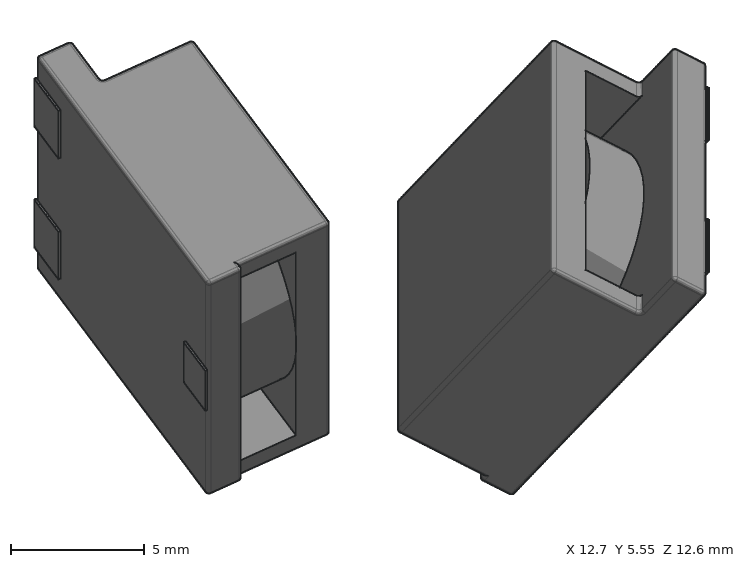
import cadquery as cq

width = 12.7
height = 12.6
overall_depth = 5.55
pad_thickness = 0.09
depth = overall_depth - pad_thickness

base_depth = 1.51
left_step = 2.24
right_step = 0.25
edge_radius = 0.15

window_height = 10.82
window_end = 3.98
post_diameter = 10.52
post_left_overhang = 0.28

side_pad_width = 1.8
side_pad_height = 2.82
side_pad_offset = 3.58
middle_pad_width = 1.61
middle_pad_height = 2.36

left = -width / 2
right = width / 2
block_left = left + left_step
block_right = right - right_step


def make_housing():
    """Stepped block with rounded edges, a through window and an integral round post."""
    outline = [
        (left, 0),
        (right, 0),
        (right, base_depth),
        (block_right, base_depth),
        (block_right, depth),
        (block_left, depth),
        (block_left, base_depth),
        (left, base_depth),
    ]
    body = cq.Workplane("XY").polyline(outline).close().extrude(height / 2, both=True)

    sharp_corner = cq.selectors.NearestToPointSelector((block_right, base_depth, 0))
    rounded_edges = cq.selectors.InverseSelector(sharp_corner)
    body = body.edges(rounded_edges).fillet(edge_radius)

    window_depth = window_end - base_depth
    window = (
        cq.Workplane("XY")
        .box(width, window_depth, window_height)
        .translate((0, base_depth + window_depth / 2, 0))
    )

    post_center = block_left - post_left_overhang + post_diameter / 2
    post = (
        cq.Workplane("XZ", origin=(post_center, base_depth, 0))
        .circle(post_diameter / 2)
        .extrude(-window_depth)
    )
    return body.cut(window).union(post)


def make_pad(pad_width, pad_height, center_x, center_z):
    """Flat contact pad lying on the mounting face."""
    return (
        cq.Workplane("XY")
        .box(pad_width, pad_thickness, pad_height)
        .translate((center_x, -pad_thickness / 2, center_z))
    )


housing = make_housing()

side_pads = []
for side in (-1, 1):
    side_pad = make_pad(
        side_pad_width,
        side_pad_height,
        left + side_pad_width / 2,
        side * side_pad_offset,
    )
    side_pads.append(side_pad.val())

middle_pad = make_pad(
    middle_pad_width, middle_pad_height, right - middle_pad_width / 2, 0
)

result = cq.Compound.makeCompound([housing.val(), *side_pads, middle_pad.val()])